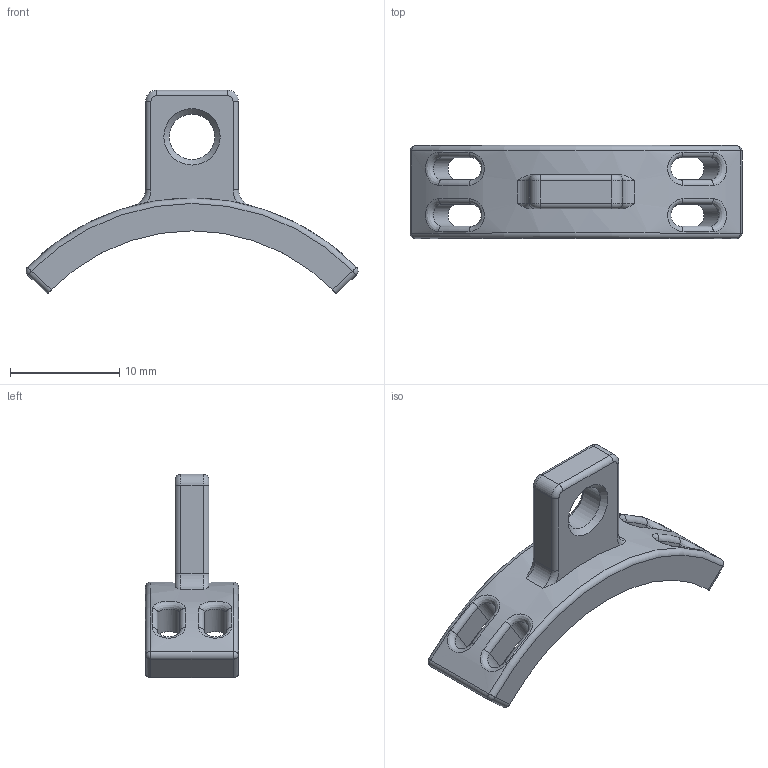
import cadquery as cq
import math

inner_radius = 18.0
band_thickness = 3.0
outer_radius = inner_radius + band_thickness
half_span_deg = 47.06
band_width = 8.5
edge_round = 0.5

tab_width = 8.5
tab_thickness = 3.1
tab_rise = 9.84
tab_top = outer_radius + tab_rise
tab_corner_radius = 1.0
tab_foot_radius = 1.5
tab_embed = 1.0
hole_diameter = 4.15
hole_chamfer = 0.5
hole_center_z = tab_top - tab_width / 2

slot_length = 5.2
slot_width = 2.0
slot_angle_deg = 32.2
slot_offset_y = band_width / 4
slot_cut_depth = 2 * band_thickness


def polar(radius, angle_deg):
    """XZ point at a radius from the band axis, with the angle measured from +Z toward +X."""
    angle = math.radians(angle_deg)
    return (radius * math.sin(angle), radius * math.cos(angle))


def axis_distance(point):
    """Distance of a point from the band axis."""
    return math.hypot(point.x, point.z)


def make_band():
    band = (
        cq.Workplane("XZ")
        .moveTo(*polar(inner_radius, -half_span_deg))
        .lineTo(*polar(outer_radius, -half_span_deg))
        .threePointArc(polar(outer_radius, 0), polar(outer_radius, half_span_deg))
        .lineTo(*polar(inner_radius, half_span_deg))
        .threePointArc(polar(inner_radius, 0), polar(inner_radius, -half_span_deg))
        .close()
        .extrude(band_width / 2, both=True)
    )
    mid_radius = inner_radius + band_thickness / 2
    rounded_edges = [
        edge
        for edge in band.edges().vals()
        if max(axis_distance(edge.startPoint()), axis_distance(edge.endPoint())) > mid_radius
    ]
    return band.newObject(rounded_edges).fillet(edge_round)


def make_tab():
    half_width = tab_width / 2
    foot_center_x = half_width + tab_foot_radius
    foot_center_distance = outer_radius + tab_foot_radius
    foot_center_z = math.sqrt(foot_center_distance**2 - foot_center_x**2)
    foot_angle_deg = math.degrees(math.asin(foot_center_x / foot_center_distance))
    foot_x, foot_z = polar(outer_radius, foot_angle_deg)
    base_x, base_z = polar(outer_radius - tab_embed, foot_angle_deg)

    tab = (
        cq.Workplane("XZ")
        .moveTo(-base_x, base_z)
        .lineTo(-foot_x, foot_z)
        .radiusArc((-half_width, foot_center_z), -tab_foot_radius)
        .lineTo(-half_width, tab_top - tab_corner_radius)
        .radiusArc((-half_width + tab_corner_radius, tab_top), tab_corner_radius)
        .lineTo(half_width - tab_corner_radius, tab_top)
        .radiusArc((half_width, tab_top - tab_corner_radius), tab_corner_radius)
        .lineTo(half_width, foot_center_z)
        .radiusArc((foot_x, foot_z), -tab_foot_radius)
        .lineTo(base_x, base_z)
        .close()
        .extrude(tab_thickness / 2, both=True)
    )
    outline_edges = [edge for edge in tab.faces("|Y").edges().vals() if edge.Center().z > foot_z]
    return tab.newObject(outline_edges).fillet(edge_round)


def make_hole_cutter():
    radius = hole_diameter / 2
    half_thickness = tab_thickness / 2
    return (
        cq.Workplane("XY", origin=(0, 0, hole_center_z))
        .moveTo(0, -half_thickness)
        .lineTo(radius + hole_chamfer, -half_thickness)
        .lineTo(radius, -half_thickness + hole_chamfer)
        .lineTo(radius, half_thickness - hole_chamfer)
        .lineTo(radius + hole_chamfer, half_thickness)
        .lineTo(0, half_thickness)
        .close()
        .revolve(360, (0, 0, 0), (0, 1, 0))
    )


def cut_slots(band):
    for side in (-1, 1):
        mid_x, mid_z = polar(inner_radius + band_thickness / 2, side * slot_angle_deg)
        slot_plane = cq.Plane(
            origin=(mid_x, 0, mid_z),
            xDir=(mid_z, 0, -mid_x),
            normal=(mid_x, 0, mid_z),
        )
        slots = (
            cq.Workplane(slot_plane)
            .pushPoints([(0, -slot_offset_y), (0, slot_offset_y)])
            .slot2D(slot_length, slot_width)
            .extrude(slot_cut_depth / 2, both=True)
        )
        band = band.cut(slots)
    return band


def round_slot_mouths(band):
    """Round the slot rims on the outer surface of the band."""
    outer_face = band.faces(">Z").val()
    rim_edges = [edge for wire in outer_face.innerWires() for edge in wire.Edges()]
    return band.newObject(rim_edges).fillet(edge_round)


saddle = round_slot_mouths(cut_slots(make_band()))
result = saddle.union(make_tab()).cut(make_hole_cutter())